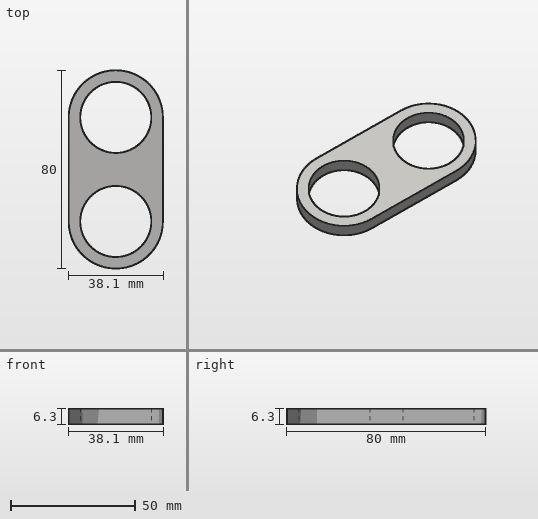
import cadquery as cq

length = 80.0
width = 38.1
thickness = 6.3
hole_diameter = 28.6

hole_spacing = length - width
hole_centers = [(0, -hole_spacing / 2), (0, hole_spacing / 2)]

link = cq.Workplane("XY").slot2D(length, width, angle=90).extrude(thickness)

result = link.faces(">Z").workplane(origin=(0, 0, 0)).pushPoints(hole_centers).hole(hole_diameter)